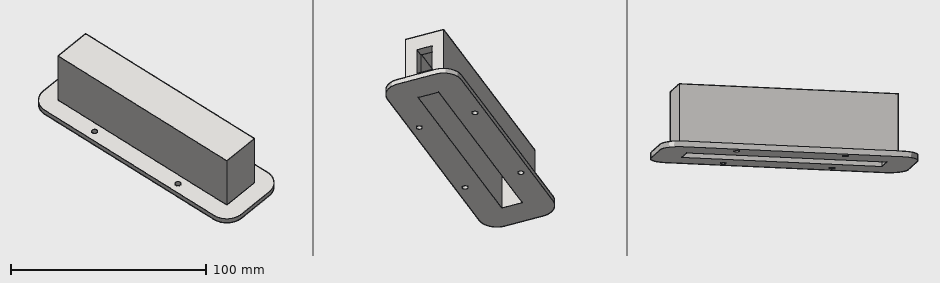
import cadquery as cq

tower_length = 115.0
tower_width = 21.5
total_height = 35.0
wall = 5.0

flange_margin = 10.0
flange_thickness = 3.0
flange_length = tower_length + 2 * flange_margin
flange_width = tower_width + 2 * flange_margin
corner_radius = flange_margin

window_width = 8.5
window_height = 15.0
window_center_z = (flange_thickness + total_height) / 2

hole_diameter = 3.0
hole_spacing_x = 57.0
hole_spacing_y = 31.25
left_pair_offset_y = 0.25
right_pair_offset_y = 0.0


def block(length, width, height):
    """Box centred in X and Y, standing on Z = 0."""
    return cq.Workplane("XY").box(length, width, height, centered=(True, True, False))


def make_flange():
    flange = block(flange_length, flange_width, flange_thickness)
    return flange.edges("|Z").fillet(corner_radius)


def make_cavity():
    """Interior of the tower, open at the underside of the flange."""
    return block(tower_length - 2 * wall, tower_width - 2 * wall, total_height - wall)


def make_window():
    """Cutter that spans the -X end wall and stops at the cavity."""
    wall_center_x = -(tower_length - wall) / 2
    window = cq.Workplane("XY").box(wall, window_width, window_height)
    return window.translate((wall_center_x, 0, window_center_z))


def make_screw_holes():
    centers = []
    for side, offset_y in ((-1, left_pair_offset_y), (1, right_pair_offset_y)):
        for row in (-1, 1):
            centers.append((side * hole_spacing_x / 2, offset_y + row * hole_spacing_y / 2))
    return cq.Workplane("XY").pushPoints(centers).circle(hole_diameter / 2).extrude(flange_thickness)


result = (
    block(tower_length, tower_width, total_height)
    .union(make_flange())
    .cut(make_cavity())
    .cut(make_window())
    .cut(make_screw_holes())
)